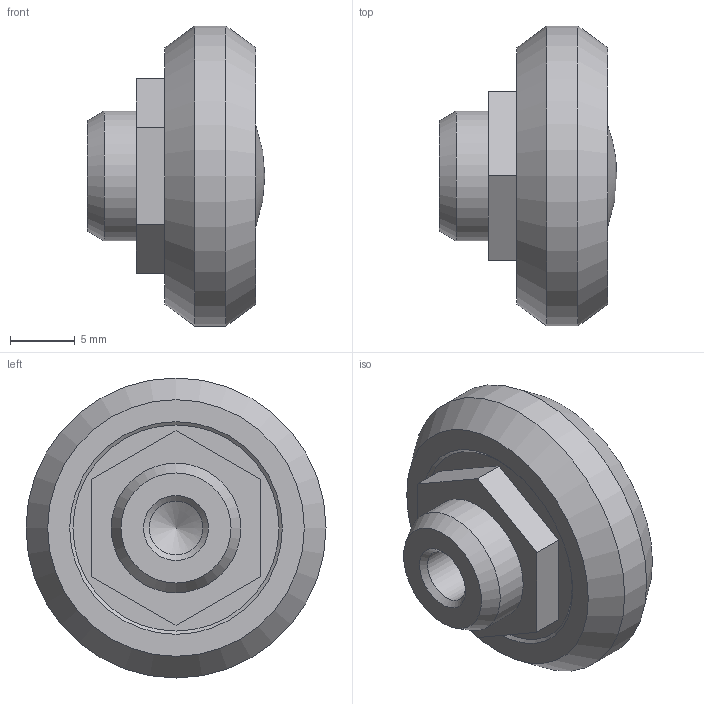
import cadquery as cq
import math


boss_radius = 5.0
boss_length = 3.8
boss_chamfer_length = 1.3
boss_chamfer_angle = 30.0
boss_tip_radius = boss_radius - boss_chamfer_length * math.tan(math.radians(boss_chamfer_angle))

hex_across_flats = 13.0
hex_height = 2.2
hex_corner_radius = hex_across_flats / math.sqrt(3)

wheel_radius = 11.57
wheel_face_radius = 9.9
wheel_width = 7.0
wheel_rim_width = 2.4
wheel_bevel_length = (wheel_width - wheel_rim_width) / 2

recess_mouth_radius = 8.2
recess_floor_radius = 7.95
recess_depth = 0.2

dome_radius = 3.9
dome_height = 0.7

hole_mouth_radius = 2.5
hole_radius = 2.067
hole_chamfer_length = hole_mouth_radius - hole_radius
hole_depth = 9.0
drill_point_angle = 118.0
drill_point_length = hole_radius / math.tan(math.radians(drill_point_angle / 2))

wheel_front = boss_length + hex_height
wheel_back = wheel_front + wheel_width
recess_floor = wheel_front + recess_depth


def revolve_about_x(profile):
    """Close an outline drawn in XY and turn it fully around the X axis."""
    return profile.close().revolve(360, (0, 0, 0), (1, 0, 0))


def make_wheel():
    """Bevelled wheel with its front recess and the dome on its back."""
    sphere_radius = (dome_radius**2 + dome_height**2) / (2 * dome_height)
    sphere_centre = wheel_back + dome_height - sphere_radius
    half_angle = math.asin(dome_radius / sphere_radius) / 2
    dome_middle = (
        sphere_centre + sphere_radius * math.cos(half_angle),
        sphere_radius * math.sin(half_angle),
    )
    profile = (
        cq.Workplane("XY")
        .moveTo(recess_floor, 0)
        .lineTo(recess_floor, recess_floor_radius)
        .lineTo(wheel_front, recess_mouth_radius)
        .lineTo(wheel_front, wheel_face_radius)
        .lineTo(wheel_front + wheel_bevel_length, wheel_radius)
        .lineTo(wheel_back - wheel_bevel_length, wheel_radius)
        .lineTo(wheel_back, wheel_face_radius)
        .lineTo(wheel_back, dome_radius)
        .threePointArc(dome_middle, (wheel_back + dome_height, 0))
    )
    return revolve_about_x(profile)


def make_hexagon():
    """Hexagon standing on the recess floor."""
    corner_angles = [math.radians(90 + 60 * i) for i in range(6)]
    corners = [(hex_corner_radius * math.cos(a), hex_corner_radius * math.sin(a)) for a in corner_angles]
    return (
        cq.Workplane("YZ", origin=(boss_length, 0, 0))
        .polyline(corners)
        .close()
        .extrude(hex_height + recess_depth)
    )


def make_boss():
    """Round boss with a chamfered tip, ending on the hexagon."""
    profile = (
        cq.Workplane("XY")
        .lineTo(0, boss_tip_radius)
        .lineTo(boss_chamfer_length, boss_radius)
        .lineTo(boss_length, boss_radius)
        .lineTo(boss_length, 0)
    )
    return revolve_about_x(profile)


def make_hole():
    """Blind drilled hole with a chamfered mouth and a conical bottom."""
    profile = (
        cq.Workplane("XY")
        .lineTo(0, hole_mouth_radius)
        .lineTo(hole_chamfer_length, hole_radius)
        .lineTo(hole_depth, hole_radius)
        .lineTo(hole_depth + drill_point_length, 0)
    )
    return revolve_about_x(profile)


result = make_wheel().union(make_hexagon()).union(make_boss()).cut(make_hole())